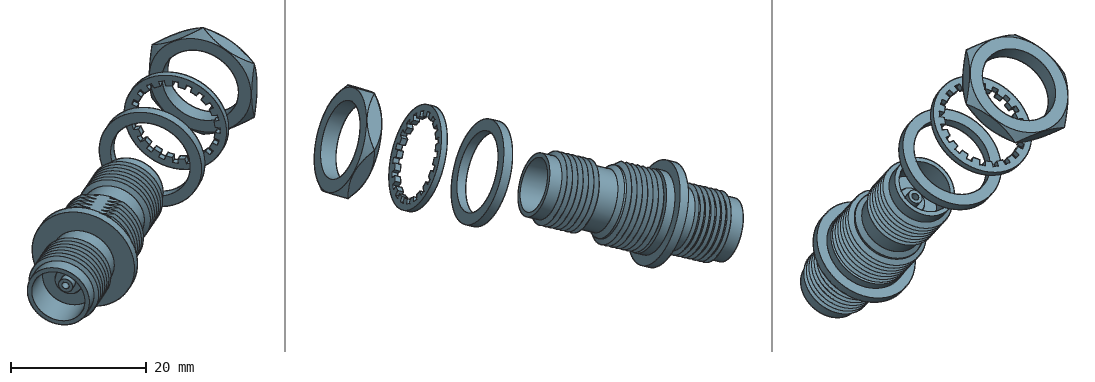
import cadquery as cq
import math


BODY_LENGTH = 32.6
BARREL_RADIUS = 4.85
FLANGE_RADIUS = 8.0
FLANGE_FRONT = 11.0
FLANGE_THICKNESS = 1.4
COLLAR_RADIUS = 6.4
COLLAR_LENGTH = 1.4
NECK_BACK = 21.15
COLLAR_FLAT_HEIGHT = 5.5

PITCH = 0.9
RING_COUNT = 7
V_HEIGHT = PITCH / 2 * math.sqrt(3)
FRONT_THREAD_MIDDLE = 5.1
FRONT_CREST_RADIUS = 5.45
FRONT_RING_WIDTH = 0.7
BACK_THREAD_MIDDLE = 27.42
BACK_CREST_RADIUS = BARREL_RADIUS + V_HEIGHT
PANEL_CREST_RADIUS = 6.35
PANEL_ROOT_RADIUS = PANEL_CREST_RADIUS - V_HEIGHT

BORE_RADIUS = 4.15
BORE_DEPTH = 4.75
INSULATOR_RADIUS = 2.1
INSULATOR_FACE = 4.45
CONTACT_RADIUS = 1.1
CONTACT_FACE = 3.2
PIN_HOLE_RADIUS = 0.55
PIN_HOLE_DEPTH = 3.0

RING_OUTER_RADIUS = 8.0
GASKET_FRONT = 40.6
GASKET_THICKNESS = 1.5
GASKET_HOLE_RADIUS = 6.2

LOCK_WASHER_FRONT = 51.6
LOCK_WASHER_THICKNESS = 1.0
TOOTH_COUNT = 20
TOOTH_ROOT_RADIUS = 7.0
TOOTH_TIP_RADIUS = 6.2
TOOTH_GAP_WIDTH = 0.9

NUT_BACK = 65.2
NUT_THICKNESS = 2.6
NUT_ACROSS_FLATS = 16.0
NUT_HOLE_RADIUS = 5.95


def rod(radius, start, length):
    """Cylinder on the Y axis, from Y = start toward +Y."""
    return cq.Workplane("XZ", origin=(0, start, 0)).circle(radius).extrude(-length)


def revolve_profile(points):
    """Solid of revolution about the Y axis from (radius, y) points."""
    outline = [(y, radius) for radius, y in points]
    return cq.Workplane("YZ").polyline(outline).close().revolve(360, (0, 0, 0), (1, 0, 0))


def ring_points(middle, width, root_radius, crest_radius):
    """Outline points of a row of V rings, in order of rising y."""
    points = []
    for index in range(RING_COUNT):
        crest_y = middle + (index - (RING_COUNT - 1) / 2) * PITCH
        points.append((root_radius, crest_y - width / 2))
        points.append((crest_radius, crest_y))
        if width < PITCH or index == RING_COUNT - 1:
            points.append((root_radius, crest_y + width / 2))
    return points


def connector_blank():
    """Turned outside of the connector, with its flange, collar and threads."""
    flange_back = FLANGE_FRONT + FLANGE_THICKNESS
    collar_back = flange_back + COLLAR_LENGTH
    panel_thread_middle = collar_back + RING_COUNT * PITCH / 2
    chamfer = PANEL_ROOT_RADIUS - BARREL_RADIUS
    points = [(0, 0), (BARREL_RADIUS, 0)]
    points += ring_points(FRONT_THREAD_MIDDLE, FRONT_RING_WIDTH, BARREL_RADIUS, FRONT_CREST_RADIUS)
    points += [
        (BARREL_RADIUS, FLANGE_FRONT),
        (FLANGE_RADIUS, FLANGE_FRONT),
        (FLANGE_RADIUS, flange_back),
        (COLLAR_RADIUS, flange_back),
        (COLLAR_RADIUS, collar_back),
    ]
    points += ring_points(panel_thread_middle, PITCH, PANEL_ROOT_RADIUS, PANEL_CREST_RADIUS)
    points += [(PANEL_ROOT_RADIUS, NECK_BACK - chamfer), (BARREL_RADIUS, NECK_BACK)]
    points += ring_points(BACK_THREAD_MIDDLE, PITCH, BARREL_RADIUS, BACK_CREST_RADIUS)
    points += [(BARREL_RADIUS, BODY_LENGTH), (0, BODY_LENGTH)]
    return revolve_profile(points)


def collar_flat():
    """Material cut off above the flat on the collar and the panel thread."""
    start = FLANGE_FRONT + FLANGE_THICKNESS
    width = 2 * FLANGE_RADIUS
    return cq.Workplane("XY", origin=(0, start, COLLAR_FLAT_HEIGHT)).box(
        width, NECK_BACK - start, width, centered=(True, False, False)
    )


def socket():
    """Space cut from the front end: a bore around the insulator and the hollow contact."""
    bore = rod(BORE_RADIUS, 0, BORE_DEPTH)
    insulator = rod(INSULATOR_RADIUS, INSULATOR_FACE, BORE_DEPTH - INSULATOR_FACE)
    contact = rod(CONTACT_RADIUS, CONTACT_FACE, BORE_DEPTH - CONTACT_FACE)
    pin_hole = rod(PIN_HOLE_RADIUS, CONTACT_FACE, PIN_HOLE_DEPTH)
    return bore.cut(insulator).cut(contact).union(pin_hole)


def make_connector():
    front_socket = socket()
    back_socket = front_socket.mirror("XZ").translate((0, BODY_LENGTH, 0))
    return connector_blank().cut(collar_flat()).cut(front_socket).cut(back_socket)


def make_gasket():
    hole = rod(GASKET_HOLE_RADIUS, GASKET_FRONT, GASKET_THICKNESS)
    return rod(RING_OUTER_RADIUS, GASKET_FRONT, GASKET_THICKNESS).cut(hole)


def make_lock_washer():
    """Ring whose inner edge is split into teeth by evenly spaced radial gaps."""
    ring = rod(RING_OUTER_RADIUS, LOCK_WASHER_FRONT, LOCK_WASHER_THICKNESS)
    hole = rod(TOOTH_TIP_RADIUS, LOCK_WASHER_FRONT, LOCK_WASHER_THICKNESS)
    gap = cq.Workplane("XY", origin=(0, LOCK_WASHER_FRONT, 0)).box(
        TOOTH_ROOT_RADIUS, LOCK_WASHER_THICKNESS, TOOTH_GAP_WIDTH, centered=(False, False, True)
    )
    washer = ring.cut(hole)
    for index in range(TOOTH_COUNT):
        angle = index * 360 / TOOTH_COUNT
        washer = washer.cut(gap.rotate((0, 0, 0), (0, 1, 0), angle))
    return washer


def make_nut():
    """Hexagon with two corners on Z, its corners turned to 45 degree cones from both faces."""
    front = NUT_BACK - NUT_THICKNESS
    corner_radius = NUT_ACROSS_FLATS / math.sqrt(3)
    half_thickness = NUT_THICKNESS / 2
    face_radius = corner_radius - half_thickness
    hexagon = (
        cq.Workplane("XZ", origin=(0, front, 0))
        .polygon(6, 2 * corner_radius)
        .extrude(-NUT_THICKNESS)
        .rotate((0, 0, 0), (0, 1, 0), 30)
    )
    double_cone = revolve_profile([
        (0, front),
        (face_radius, front),
        (corner_radius, front + half_thickness),
        (face_radius, NUT_BACK),
        (0, NUT_BACK),
    ])
    return hexagon.intersect(double_cone).cut(rod(NUT_HOLE_RADIUS, front, NUT_THICKNESS))


connector = make_connector()
gasket = make_gasket()
lock_washer = make_lock_washer()
nut = make_nut()

result = cq.Compound.makeCompound([connector.val(), gasket.val(), lock_washer.val(), nut.val()])